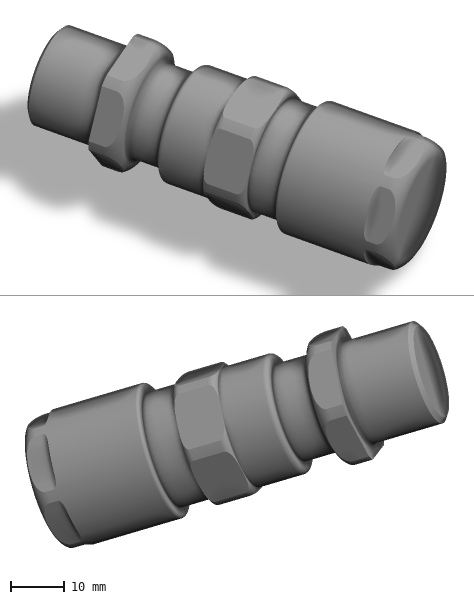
import cadquery as cq
import math


hex_sides = 6
hex_across_flats = 24.0
corner_diameter = 26.5
end_round = 3.05

thread_diameter = 20.0
thread_end_diameter = 18.0
thread_chamfer_length = 0.8
thread_root_fillet = 0.5
thread_length = 14.9
entry_hex_length = 6.15
entry_neck_diameter = 19.2
entry_neck_fillet = 1.0

middle_start = 28.4
middle_diameter = 23.6
middle_front_round = 1.0
middle_hex_start = 38.35
middle_hex_length = 9.0
middle_neck_diameter = 22.6

cap_start = 53.9
cap_end = 77.9
cap_front_round = 0.6
cap_flats_start = 72.4
cap_flat_fillet = 1.0

entry_hex_end = thread_length + entry_hex_length
middle_hex_end = middle_hex_start + middle_hex_length


def rod(diameter, start, end):
    """Solid cylinder on the X axis."""
    return cq.Workplane("YZ", origin=(start, 0, 0)).circle(diameter / 2).extrude(end - start)


def hex_bar(start, end):
    """Hexagonal prism on the X axis with flats facing +Z and -Z and corners facing +Y and -Y."""
    width_across_corners = hex_across_flats / math.cos(math.pi / hex_sides)
    face = cq.Workplane("YZ", origin=(start, 0, 0)).polygon(hex_sides, width_across_corners)
    return face.extrude(end - start)


def make_entry_fitting():
    """Chamfered thread, hexagon rounded on its inner side, and a neck entering the middle body."""
    thread_radius = thread_diameter / 2
    thread = (
        cq.Workplane("XY")
        .lineTo(0, thread_end_diameter / 2)
        .lineTo(thread_chamfer_length, thread_radius)
        .lineTo(thread_length - thread_root_fillet, thread_radius)
        .radiusArc((thread_length, thread_radius + thread_root_fillet), -thread_root_fillet)
        .lineTo(thread_length, 0)
        .close()
        .revolve(360, (0, 0, 0), (1, 0, 0))
    )
    turned_blank = rod(corner_diameter, thread_length, entry_hex_end).faces(">X").edges().fillet(end_round)
    hexagon = turned_blank.intersect(hex_bar(thread_length, entry_hex_end))

    neck_radius = entry_neck_diameter / 2
    neck = (
        cq.Workplane("XY")
        .moveTo(entry_hex_end, 0)
        .lineTo(entry_hex_end, neck_radius + entry_neck_fillet)
        .radiusArc((entry_hex_end + entry_neck_fillet, neck_radius), -entry_neck_fillet)
        .lineTo(middle_hex_start, neck_radius)
        .lineTo(middle_hex_start, 0)
        .close()
        .revolve(360, (0, 0, 0), (1, 0, 0))
    )
    return thread.union(hexagon).union(neck)


def make_middle_body():
    """Round sleeve with a socket for the entry neck, a hexagon, and a neck entering the cap."""
    sleeve = rod(middle_diameter, middle_start, middle_hex_start)
    sleeve = sleeve.faces("<X").edges().fillet(middle_front_round)
    corner_round = (corner_diameter - middle_diameter) / 2
    turned_blank = rod(corner_diameter, middle_hex_start, middle_hex_end)
    turned_blank = turned_blank.faces("<X or >X").edges().fillet(corner_round)
    hexagon = turned_blank.intersect(hex_bar(middle_hex_start, middle_hex_end))
    neck = rod(middle_neck_diameter, middle_hex_end, cap_flats_start)
    socket = rod(entry_neck_diameter, middle_start, middle_hex_start)
    return sleeve.union(hexagon).union(neck).cut(socket)


def make_sealing_cap():
    """Round cap with a socket for the middle neck and six wrench flats at its rounded end."""
    cap = rod(corner_diameter, cap_start, cap_end)
    cap = cap.faces("<X").edges().fillet(cap_front_round)
    cap = cap.faces(">X").edges().fillet(end_round)

    flat_height = hex_across_flats / 2
    cutter_top = corner_diameter
    flat_cutter = (
        cq.Workplane("XZ")
        .moveTo(cap_flats_start, cutter_top)
        .lineTo(cap_flats_start, flat_height + cap_flat_fillet)
        .radiusArc((cap_flats_start + cap_flat_fillet, flat_height), -cap_flat_fillet)
        .lineTo(cap_end, flat_height)
        .lineTo(cap_end, cutter_top)
        .close()
        .extrude(corner_diameter / 2, both=True)
    )
    for flat in range(hex_sides):
        cap = cap.cut(flat_cutter.rotate((0, 0, 0), (1, 0, 0), flat * 360 / hex_sides))

    socket = rod(middle_neck_diameter, cap_start, cap_flats_start)
    return cap.cut(socket)


entry_fitting = make_entry_fitting()
middle_body = make_middle_body()
sealing_cap = make_sealing_cap()

result = cq.Compound.makeCompound([
    entry_fitting.val(),
    middle_body.val(),
    sealing_cap.val(),
])